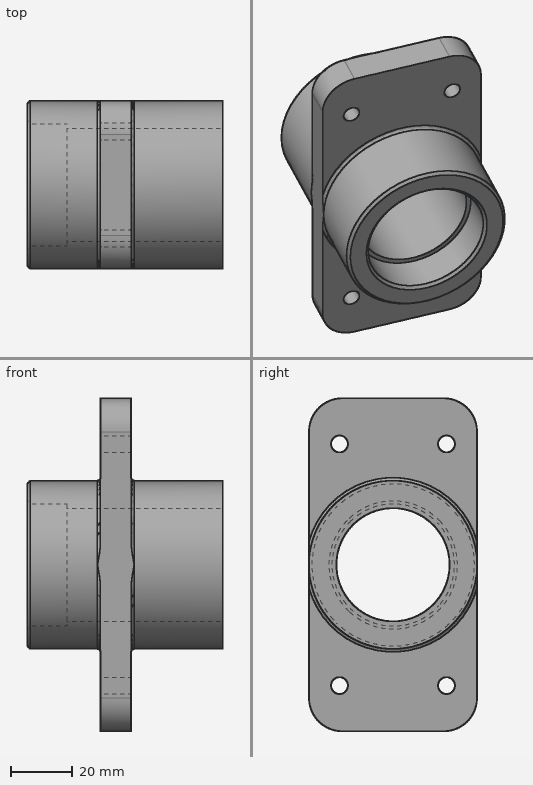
import cadquery as cq

flange_height = 109.0
flange_width = 55.0
flange_thickness = 10.0
corner_radius = 11.0

tube_length = 64.0
tube_radius = flange_width / 2
flange_start = 24.0
flange_end = flange_start + flange_thickness
edge_chamfer = 1.0
root_fillet = 1.0

bore_diameter = 37.0
socket_diameter = 40.0
socket_depth = 13.0

hole_diameter = 5.5
hole_spacing_y = 35.0
hole_spacing_z = 79.0


def disc(start, length, radius):
    """Cylinder along +X beginning at x = start."""
    return cq.Workplane("YZ", origin=(start, 0, 0)).circle(radius).extrude(length)


def root_ring(face_x, outward):
    """Concave ring joining the tube to a flange face; outward is -1 or +1 along X."""
    arc_offset = root_fillet * (1 - 0.5 ** 0.5)
    inner_radius = tube_radius - root_fillet
    return (
        cq.Workplane("XY")
        .moveTo(face_x, inner_radius)
        .lineTo(face_x, tube_radius + root_fillet)
        .threePointArc(
            (face_x + outward * arc_offset, tube_radius + arc_offset),
            (face_x + outward * root_fillet, tube_radius),
        )
        .lineTo(face_x + outward * root_fillet, inner_radius)
        .close()
        .revolve(360, (0, 0, 0), (1, 0, 0))
    )


flange = (
    cq.Workplane("YZ", origin=(flange_start, 0, 0))
    .rect(flange_width, flange_height)
    .extrude(flange_thickness)
    .edges("|X")
    .fillet(corner_radius)
)
tube = disc(0, tube_length, tube_radius).faces("<X").edges().chamfer(edge_chamfer)

rings = root_ring(flange_start, -1).union(root_ring(flange_end, 1))
width_limit = cq.Workplane("XY").box(2 * tube_length, flange_width, flange_height)
body = flange.union(tube).union(rings.intersect(width_limit))

bore = disc(0, tube_length, bore_diameter / 2)
socket = disc(0, socket_depth, socket_diameter / 2)
socket_lead_in = (
    cq.Workplane("YZ")
    .circle(socket_diameter / 2 + edge_chamfer)
    .workplane(offset=edge_chamfer)
    .circle(socket_diameter / 2)
    .loft()
)

mounting_holes = (
    cq.Workplane("YZ", origin=(flange_start, 0, 0))
    .rect(hole_spacing_y, hole_spacing_z, forConstruction=True)
    .vertices()
    .circle(hole_diameter / 2)
    .extrude(flange_thickness)
)

result = body.cut(bore).cut(socket).cut(socket_lead_in).cut(mounting_holes)